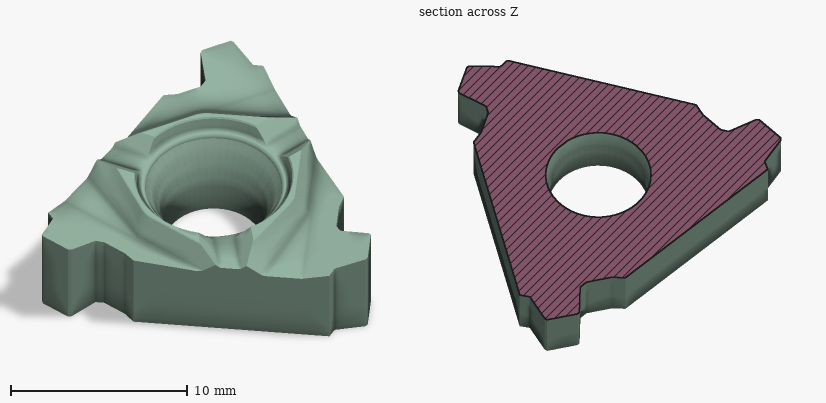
import math

import cadquery as cq


inscribed_radius = 6.35
overall_height = 5.84
arm_count = 3
arm_angle = 360 / arm_count

floor_height = 4.62
rake_start = 5.68
rake_angle = 15
rake_blend_radius = 0.4
blank_reach = 15

tip_y = -9.32
tip_chamfer_y = tip_y + 0.12
tooth_root_y = -7.5
shoulder_y = -7.25
heel_y = -7.46
heel_x = 2 * (inscribed_radius + heel_y * math.cos(math.radians(30)))
arm_outline = [
    (-inscribed_radius, shoulder_y),
    (-5.82, tooth_root_y),
    (-5.36, tip_chamfer_y),
    (-5.24, tip_y),
    (-3.45, tip_y),
    (-3.32, tip_chamfer_y),
    (-2.86, tooth_root_y),
    (-2.45, shoulder_y),
    (-1.0, shoulder_y),
    (heel_x, heel_y),
]

island_foot = [(-7.5, -3.08), (-1.28, -5.58), (4.8, -5.58)]
island_top = [(-6.5, -1.76), (-1.385, -4.72), (4.1, -4.72)]
foot_corner_radius = 0.8
top_corner_radius = 1.8
island_edge_radius = 0.11
foot_blend_height = 0.06
foot_blend_share = 0.1
wall_stations = [0, 0.47, 0.5, 0.53, 1]

slot_direction = 194
slot_floor_height = 5.03
slot_floor_width = 1.09
slot_top_width = 3.04
slot_cutter_length = 9
slot_blend_radius = 0.25

bore_radius = 5.7 / 2
seat_arc_radius = 4.3
seat_angle = math.radians(40)
seat_top_height = 4.78
seat_rim_middle = (3.92, 4.95)
ledge_inner_radius = 4.03
ledge_outer_radius = 4.1
recess_blend_middle = (4.25, 5.08)
recess_foot = (4.32, 5.2)
recess_top = (4.46, overall_height - 0.08)
recess_rim_radius = 4.53


def rotated(point, degrees):
    """The point turned about the Z axis."""
    angle = math.radians(degrees)
    x, y = point
    return (x * math.cos(angle) - y * math.sin(angle), x * math.sin(angle) + y * math.cos(angle))


def around_axis(shape):
    """Union of the shape repeated once per arm."""
    pattern = shape
    for index in range(1, arm_count):
        pattern = pattern.union(shape.rotate((0, 0, 0), (0, 0, 1), index * arm_angle))
    return pattern


def corner_arc(before, corner, after, radius):
    """Start, middle and end of the arc that rounds a corner."""
    here = cq.Vector(*corner)
    back = (cq.Vector(*before) - here).normalized()
    ahead = (cq.Vector(*after) - here).normalized()
    half_angle = back.getAngle(ahead) / 2
    setback = radius / math.tan(half_angle)
    depth = radius / math.sin(half_angle) - radius
    middle = here + (back + ahead).normalized() * depth
    return [(v.x, v.y) for v in (here + back * setback, middle, here + ahead * setback)]


def body_prism():
    points = [rotated(p, index * arm_angle) for index in range(arm_count) for p in arm_outline]
    return cq.Workplane("XY").polyline(points).close().extrude(overall_height)


def rake_block():
    """Floor at the middle that rises along the rake face towards the tip at -Y."""
    run = blank_reach - rake_start
    rise = run * math.tan(math.radians(rake_angle))
    start, middle, end = corner_arc(
        (0, floor_height),
        (-rake_start, floor_height),
        (-blank_reach, floor_height + rise),
        rake_blend_radius,
    )
    return (
        cq.Workplane("YZ", origin=(-blank_reach, 0, 0))
        .moveTo(0, 0)
        .lineTo(0, floor_height)
        .lineTo(*start)
        .threePointArc(middle, end)
        .lineTo(-blank_reach, floor_height + rise)
        .lineTo(-blank_reach, 0)
        .close()
        .extrude(2 * blank_reach)
    )


def island_outline(workplane, corners, radius):
    """Closed outline of the island; one smooth curve runs along each third and round its corner."""
    outer, corner, end = corners
    start, middle, finish = corner_arc(outer, corner, end, radius)
    curve = [outer, start, middle, finish, end]
    before, after = (cq.Vector(*corner) - cq.Vector(*outer), cq.Vector(*end) - cq.Vector(*corner))
    across = cq.Vector(*finish) - cq.Vector(*start)
    headings = [(v.x, v.y) for v in (before, before, across, after, after)]
    workplane = workplane.moveTo(*outer)
    for index in range(arm_count):
        turn = index * arm_angle
        workplane = workplane.spline(
            [rotated(p, turn) for p in curve],
            tangents=[rotated(h, turn) for h in headings],
            parameters=wall_stations,
        )
        if index < arm_count - 1:
            workplane = workplane.lineTo(*rotated(outer, turn + arm_angle))
    return workplane.close()


def between(low, high, share):
    """Value part of the way from low to high."""
    return low + share * (high - low)


def island():
    """Island with a shallow blend strip at its foot and a rounded top edge."""
    blend_corners = [
        (between(low[0], high[0], foot_blend_share), between(low[1], high[1], foot_blend_share))
        for low, high in zip(island_foot, island_top)
    ]
    blend_radius = between(foot_corner_radius, top_corner_radius, foot_blend_share)
    wall_rise = overall_height - floor_height - foot_blend_height
    foot = island_outline(cq.Workplane("XY", origin=(0, 0, floor_height)), island_foot, foot_corner_radius)
    blend = island_outline(foot.workplane(offset=foot_blend_height), blend_corners, blend_radius)
    top = island_outline(blend.workplane(offset=wall_rise), island_top, top_corner_radius)
    return top.loft(ruled=True).faces(">Z").edges().fillet(island_edge_radius)


def slot():
    """Flared radial slot, open at the top."""
    half_floor = slot_floor_width / 2
    half_top = slot_top_width / 2
    cutter = (
        cq.Workplane("YZ")
        .moveTo(-half_floor, slot_floor_height)
        .lineTo(half_floor, slot_floor_height)
        .lineTo(half_top, overall_height)
        .lineTo(-half_top, overall_height)
        .close()
        .extrude(slot_cutter_length)
        .faces("<Z")
        .edges("|X")
        .fillet(slot_blend_radius)
    )
    return cutter.rotate((0, 0, 0), (0, 0, 1), slot_direction)


def screw_hole():
    """Bore, curved screw seat, narrow ledge and flared recess, turned about Z."""
    seat_top_radius = bore_radius + seat_arc_radius * (1 - math.cos(seat_angle))
    seat_foot_height = seat_top_height - seat_arc_radius * math.sin(seat_angle)
    seat_middle = (
        bore_radius + seat_arc_radius * (1 - math.cos(seat_angle / 2)),
        seat_foot_height + seat_arc_radius * math.sin(seat_angle / 2),
    )
    return (
        cq.Workplane("XZ")
        .moveTo(0, 0)
        .lineTo(bore_radius, 0)
        .lineTo(bore_radius, seat_foot_height)
        .threePointArc(seat_middle, (seat_top_radius, seat_top_height))
        .threePointArc(seat_rim_middle, (ledge_inner_radius, slot_floor_height))
        .lineTo(ledge_outer_radius, slot_floor_height)
        .threePointArc(recess_blend_middle, recess_foot)
        .lineTo(*recess_top)
        .lineTo(recess_rim_radius, overall_height)
        .lineTo(0, overall_height)
        .close()
        .revolve(360, (0, 0), (0, 1))
    )


top_form = around_axis(rake_block()).union(island())
result = body_prism().intersect(top_form).cut(around_axis(slot())).cut(screw_hole())